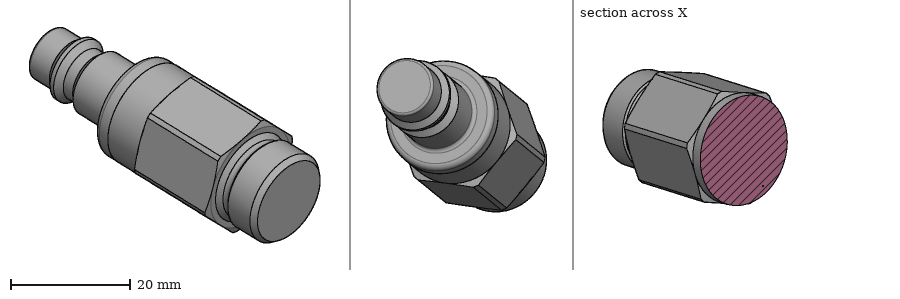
import cadquery as cq
import math

LENGTH = 56.0
TIP_ROUND = 0.45
COLLAR_START = 4.9
COLLAR_TOP_START = 6.1
COLLAR_TOP_END = 6.95
GROOVE_START = 8.1
GROOVE_END = 10.3
SHANK_START = 11.5
FLANGE_START = 19.95
SLEEVE_START = 22.95
HEX_START = 29.9
HEX_END = 47.0
NECK_TAPER_END = 47.8
NECK_THROAT = 48.45
NECK_ARC_END = 49.5
END_START = 49.85
END_CHAMFER_LENGTH = 1.0

TIP_RADIUS = 9.9 / 2
GROOVE_RADIUS = 9.75 / 2
SHANK_RADIUS = 12.0 / 2
FLANGE_RADIUS = 18.9 / 2
SLEEVE_RADIUS = 19.0 / 2
NECK_TAPER_END_RADIUS = 14.85 / 2
NECK_THROAT_RADIUS = 14.5 / 2
NECK_ARC_END_RADIUS = 16.0 / 2
END_RADIUS = 16.7 / 2
END_FACE_RADIUS = 15.1 / 2

SHANK_FILLET = 0.7
FLANGE_ROUND = 1.0

HEX_ACROSS_FLATS = 19.0
HEX_CORNER_RADIUS = 10.7
HEX_TILT = 11.5
HEX_CHAMFER_LENGTH = 0.35
HEX_FACE_RADIUS = HEX_ACROSS_FLATS / 2
HEX_SHARP_RADIUS = HEX_ACROSS_FLATS / (2 * math.cos(math.radians(30)))


def revolve_about_x(profile):
    """Revolve a closed profile drawn with X along the axis and Y as radius."""
    return profile.close().revolve(360, (0, 0, 0), (1, 0, 0))


def round_middle(radius):
    """Distance from a quarter arc's end tangents to its middle point."""
    return radius * (1 - math.sqrt(0.5))


def make_plug():
    """Plug tip, locking collar, groove, shank, flange and sleeve."""
    tip_middle = round_middle(TIP_ROUND)
    fillet_middle = round_middle(SHANK_FILLET)
    flange_middle = round_middle(FLANGE_ROUND)
    profile = (
        cq.Workplane("XY")
        .lineTo(0, TIP_RADIUS - TIP_ROUND)
        .threePointArc((tip_middle, TIP_RADIUS - tip_middle), (TIP_ROUND, TIP_RADIUS))
        .lineTo(COLLAR_START, TIP_RADIUS)
        .lineTo(COLLAR_TOP_START, SHANK_RADIUS)
        .lineTo(COLLAR_TOP_END, SHANK_RADIUS)
        .lineTo(GROOVE_START, GROOVE_RADIUS)
        .lineTo(GROOVE_END, GROOVE_RADIUS)
        .lineTo(SHANK_START, SHANK_RADIUS)
        .lineTo(FLANGE_START - SHANK_FILLET, SHANK_RADIUS)
        .threePointArc(
            (FLANGE_START - fillet_middle, SHANK_RADIUS + fillet_middle),
            (FLANGE_START, SHANK_RADIUS + SHANK_FILLET),
        )
        .lineTo(FLANGE_START, FLANGE_RADIUS - FLANGE_ROUND)
        .threePointArc(
            (FLANGE_START + flange_middle, FLANGE_RADIUS - flange_middle),
            (FLANGE_START + FLANGE_ROUND, FLANGE_RADIUS),
        )
        .lineTo(SLEEVE_START, FLANGE_RADIUS)
        .lineTo(SLEEVE_START, SLEEVE_RADIUS)
        .lineTo(HEX_START, SLEEVE_RADIUS)
        .lineTo(HEX_START, 0)
    )
    return revolve_about_x(profile)


def make_hex():
    """Hexagonal grip with turned corners and cone-chamfered ends."""
    prism = (
        cq.Workplane("YZ", origin=(HEX_START, 0, 0))
        .polygon(6, 2 * HEX_SHARP_RADIUS)
        .extrude(HEX_END - HEX_START)
        .rotate((0, 0, 0), (1, 0, 0), HEX_TILT)
    )
    envelope = revolve_about_x(
        cq.Workplane("XY")
        .moveTo(HEX_START, 0)
        .lineTo(HEX_START, HEX_FACE_RADIUS)
        .lineTo(HEX_START + HEX_CHAMFER_LENGTH, HEX_CORNER_RADIUS)
        .lineTo(HEX_END - HEX_CHAMFER_LENGTH, HEX_CORNER_RADIUS)
        .lineTo(HEX_END, HEX_FACE_RADIUS)
        .lineTo(HEX_END, 0)
    )
    return prism.intersect(envelope)


def make_end():
    """Tapered, hollowed neck and chamfered end section behind the grip."""
    profile = (
        cq.Workplane("XY")
        .moveTo(HEX_END, 0)
        .lineTo(HEX_END, END_RADIUS)
        .lineTo(NECK_TAPER_END, NECK_TAPER_END_RADIUS)
        .threePointArc(
            (NECK_THROAT, NECK_THROAT_RADIUS),
            (NECK_ARC_END, NECK_ARC_END_RADIUS),
        )
        .lineTo(END_START, END_RADIUS)
        .lineTo(LENGTH - END_CHAMFER_LENGTH, END_RADIUS)
        .lineTo(LENGTH, END_FACE_RADIUS)
        .lineTo(LENGTH, 0)
    )
    return revolve_about_x(profile)


result = make_plug().union(make_hex()).union(make_end())